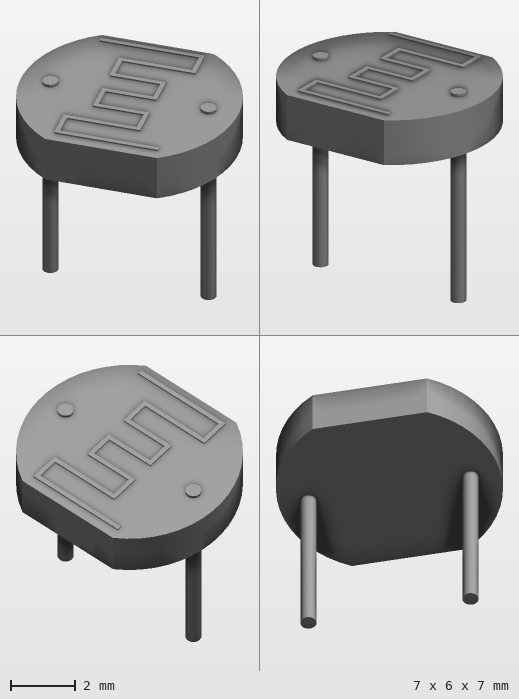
import cadquery as cq

total_height = 7.0
housing_diameter = 7.0
width_across_flats = 6.0
housing_thickness = 1.5

lead_diameter = 0.5
lead_spacing = 5.1
lead_protrusion = 0.1

track_width = 0.15
track_thickness = lead_protrusion / 2
rail_pitch = 0.875
end_reach = 1.75
outer_reach = 1.61
inner_reach = 0.895

housing_top = total_height - lead_protrusion
housing_bottom = housing_top - housing_thickness
track_bottom = total_height - track_thickness


def make_leaded_housing():
    """Round housing with two flats, in one piece with its two leads."""
    disc = (
        cq.Workplane("XY")
        .workplane(offset=housing_bottom)
        .circle(housing_diameter / 2)
        .extrude(housing_thickness)
    )
    flats = (
        cq.Workplane("XY")
        .workplane(offset=housing_bottom)
        .rect(housing_diameter, width_across_flats)
        .extrude(housing_thickness)
    )
    leads = (
        cq.Workplane("XY")
        .pushPoints([(-lead_spacing / 2, 0), (lead_spacing / 2, 0)])
        .circle(lead_diameter / 2)
        .extrude(total_height)
    )
    return disc.intersect(flats).union(leads)


def track_bar(x_start, x_end, y_start, y_end):
    """Flat rectangular piece of track between the given edges."""
    return (
        cq.Workplane("XY")
        .workplane(offset=track_bottom)
        .center((x_start + x_end) / 2, (y_start + y_end) / 2)
        .rect(abs(x_end - x_start), abs(y_end - y_start))
        .extrude(track_thickness)
    )


def make_track():
    """Serpentine of parallel rails joined at alternate ends, from +Y to -Y."""
    turns = [
        -end_reach,
        outer_reach,
        -inner_reach,
        inner_reach,
        -inner_reach,
        inner_reach,
        -outer_reach,
        end_reach,
    ]
    rail_count = len(turns) - 1
    first_rail_y = (rail_count - 1) * rail_pitch / 2
    half_width = track_width / 2

    track = cq.Workplane("XY")
    for n in range(rail_count):
        rail_y = first_rail_y - n * rail_pitch
        rail_top = rail_y + half_width
        rail_bottom = rail_y - half_width
        outer_x = turns[n + 1]
        track = track.union(track_bar(turns[n], outer_x, rail_top, rail_bottom))
        if n < rail_count - 1:
            inner_x = outer_x - track_width if outer_x > 0 else outer_x + track_width
            track = track.union(track_bar(inner_x, outer_x, rail_top, rail_bottom - rail_pitch))
    return track


leaded_housing = make_leaded_housing()
track = make_track()

result = cq.Compound.makeCompound([leaded_housing.solids().val(), track.solids().val()])